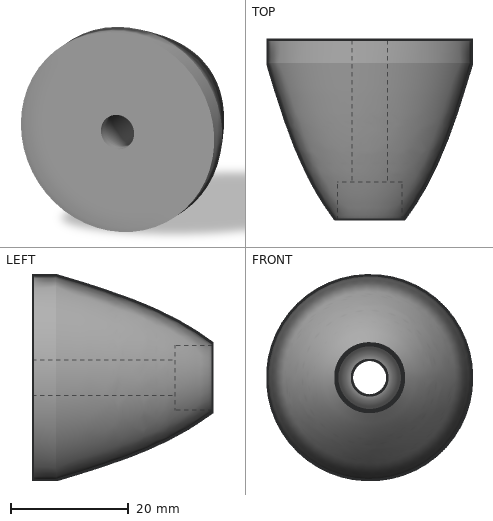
import cadquery as cq

rim_radius = 17.4
total_length = 30.52
rim_length = 4.0
tip_radius = 5.85
tip_wall = 0.35
hole_radius = 3.0
socket_depth = 6.4
waist_radius = 13.0
neck_radius = 10.02

tip_y = -total_length
rim_y = -rim_length
waist_y = (tip_y + rim_y) / 2
neck_y = (tip_y + waist_y) / 2

body = (
    cq.Workplane("XY")
    .moveTo(0, 0)
    .lineTo(rim_radius, 0)
    .lineTo(rim_radius, rim_y)
    .spline(
        [(waist_radius, waist_y), (neck_radius, neck_y), (tip_radius, tip_y)],
        includeCurrent=True,
    )
    .lineTo(0, tip_y)
    .close()
    .revolve(360, (0, 0, 0), (0, 1, 0))
)


def bore(radius, depth):
    """Cylinder entering the tip along +Y to the given depth."""
    tip_plane = cq.Plane(origin=(0, tip_y, 0), xDir=(1, 0, 0), normal=(0, 1, 0))
    return cq.Workplane(tip_plane).circle(radius).extrude(depth)


socket = bore(tip_radius - tip_wall, socket_depth)
through_hole = bore(hole_radius, total_length)

result = body.cut(socket).cut(through_hole)